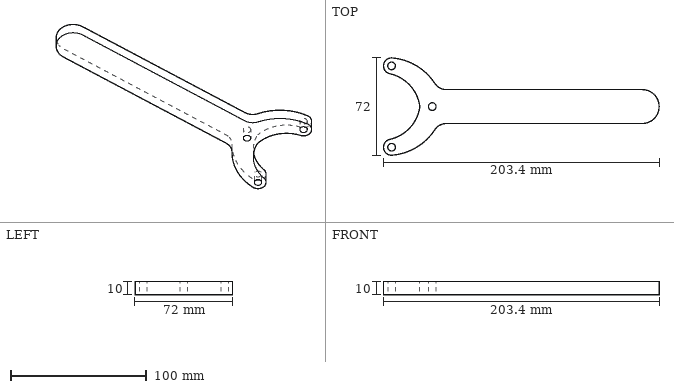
import cadquery as cq
import math

length = 203.4
thickness = 10.0
handle_width = 25.2
overall_width = 72.0
tip_diameter = 12.0
hole_diameter = 5.5
inner_radius = 28.5
outer_radius = 41.9
inner_offset = 3.7
outer_x = 2.8
crotch_fillet = 10.0
shoulder_fillet = 10.0

tip_radius = tip_diameter / 2
hole_spacing = overall_width / 2 - tip_radius
tip_x = tip_radius
tip_y = hole_spacing
handle_end_radius = handle_width / 2
handle_end_x = length - handle_end_radius

inner_x = tip_x - math.sqrt((inner_radius + tip_radius) ** 2 - (tip_y + inner_offset) ** 2)
outer_y = tip_y - math.sqrt((outer_radius - tip_radius) ** 2 - (tip_x - outer_x) ** 2)
inner_center = (inner_x, -inner_offset)
outer_center = (outer_x, outer_y)


def point_on_arc(center, radius, angle):
    return (center[0] + radius * math.cos(angle), center[1] + radius * math.sin(angle))


def angle_to_tip(center):
    return math.atan2(tip_y - center[1], tip_x - center[0])


def angle_at_height(center, radius, y):
    return math.asin((y - center[1]) / radius)


def half_plate():
    """The +Y half of the plate, closed along the centreline."""
    inner_start = angle_at_height(inner_center, inner_radius, 0)
    inner_end = angle_to_tip(inner_center)
    outer_start = angle_to_tip(outer_center)
    outer_end = angle_at_height(outer_center, outer_radius, handle_end_radius)
    inner_middle = (inner_start + inner_end) / 2
    outer_middle = (outer_start + outer_end) / 2
    return (
        cq.Workplane("XY")
        .moveTo(*point_on_arc(inner_center, inner_radius, inner_start))
        .threePointArc(
            point_on_arc(inner_center, inner_radius, inner_middle),
            point_on_arc(inner_center, inner_radius, inner_end),
        )
        .threePointArc(
            (tip_x - tip_radius, tip_y),
            point_on_arc(outer_center, outer_radius, outer_start),
        )
        .threePointArc(
            point_on_arc(outer_center, outer_radius, outer_middle),
            point_on_arc(outer_center, outer_radius, outer_end),
        )
        .lineTo(handle_end_x, handle_end_radius)
        .threePointArc(
            point_on_arc((handle_end_x, 0), handle_end_radius, math.pi / 4),
            (length, 0),
        )
        .close()
        .extrude(thickness)
    )


def fillet_edge(body, x, y, radius):
    """Round the vertical edge nearest to (x, y)."""
    nearest = cq.selectors.NearestToPointSelector((x, y, thickness / 2))
    return body.edges("|Z").edges(nearest).fillet(radius)


half = half_plate()
plate = half.union(half.mirror("XZ")).clean()

crotch_angle = angle_at_height(inner_center, inner_radius, 0)
crotch = point_on_arc(inner_center, inner_radius, crotch_angle)
plate = fillet_edge(plate, *crotch, crotch_fillet)

shoulder_angle = angle_at_height(outer_center, outer_radius, handle_end_radius)
shoulder_x, shoulder_y = point_on_arc(outer_center, outer_radius, shoulder_angle)
for side in (1, -1):
    plate = fillet_edge(plate, shoulder_x, side * shoulder_y, shoulder_fillet)

hole_centers = [
    (tip_x, tip_y),
    (tip_x, -tip_y),
    (tip_x + hole_spacing, 0),
]
holes = (
    cq.Workplane("XY")
    .pushPoints(hole_centers)
    .circle(hole_diameter / 2)
    .extrude(thickness)
)
result = plate.cut(holes)